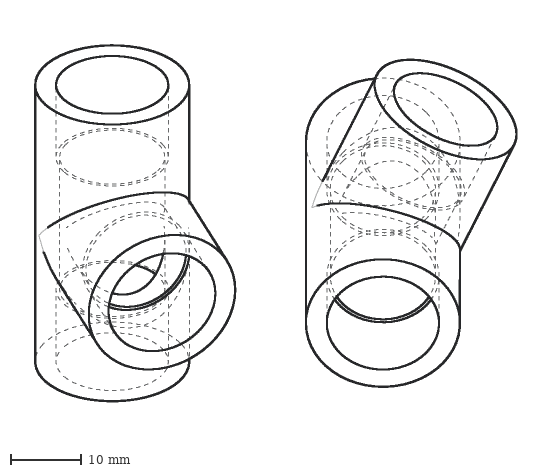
import cadquery as cq

run_length = 46.0
outer_diameter = 22.0
socket_diameter = 16.0
bore_diameter = 15.0

arm_length = run_length / 2
socket_depth = arm_length - outer_diameter / 2


def run_cylinder(diameter, length):
    """Cylinder along Z, centred on the origin."""
    return cq.Workplane("XY").circle(diameter / 2).extrude(length / 2, both=True)


def branch_cylinder(diameter, start, end):
    """Cylinder along +X between two distances from the run axis."""
    return cq.Workplane("YZ").workplane(offset=start).circle(diameter / 2).extrude(end - start)


def run_socket(direction):
    """Socket at the top (+1) or bottom (-1) end of the run."""
    return (
        cq.Workplane("XY")
        .workplane(offset=direction * arm_length)
        .circle(socket_diameter / 2)
        .extrude(-direction * socket_depth)
    )


body = run_cylinder(outer_diameter, run_length)
body = body.union(branch_cylinder(outer_diameter, 0, arm_length))

body = body.cut(run_cylinder(bore_diameter, run_length))
body = body.cut(branch_cylinder(bore_diameter, 0, arm_length))

for direction in (1, -1):
    body = body.cut(run_socket(direction))
body = body.cut(branch_cylinder(socket_diameter, arm_length - socket_depth, arm_length))

result = body